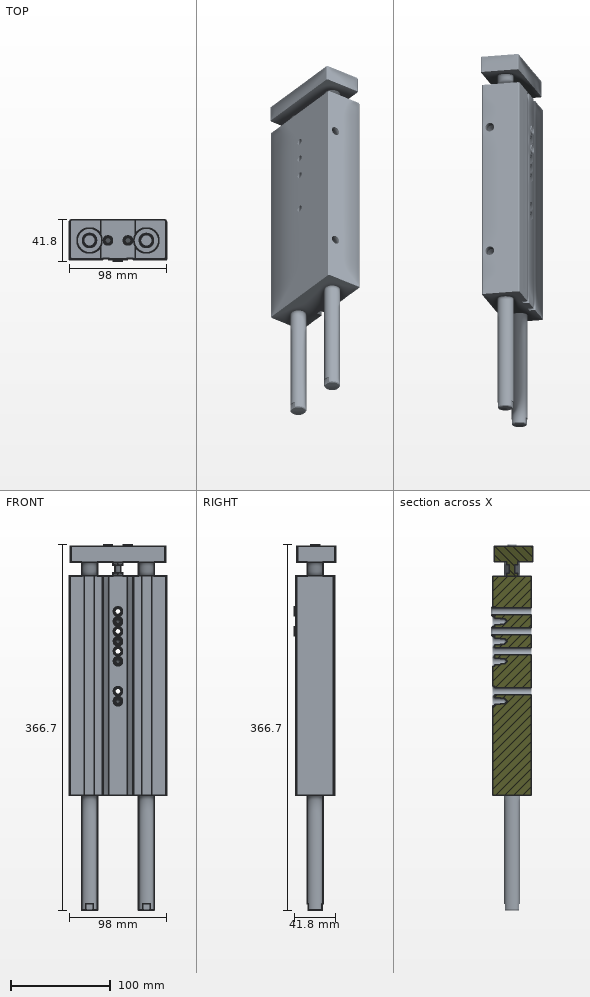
import cadquery as cq
import math


HOUSING_WIDTH = 98.0
HOUSING_DEPTH = 39.0
HOUSING_LENGTH = 220.0
HOUSING_CHAMFER = 1.2
HOUSING_FRONT = -HOUSING_DEPTH / 2

SLOT_INNER_X = 9.4
SLOT_OUTER_X = 15.0
SLOT_DEPTH = 6.0
SLOT_EDGE_CHAMFER = 1.0

PANEL_INNER_X = 23.8
PANEL_OUTER_X = 33.7
PANEL_DEPTH = 0.2

HOLE_PITCH = 10.0
FIRST_HOLE_DROP = 35.5
THROUGH_HOLE_STEPS = (0, 2, 4, 8)
BLIND_HOLE_STEPS = (1, 3, 5, 9)
SLEEVED_HOLE_STEPS = (0, 2)
THREAD_DIAMETER = 6.0
THREAD_DEPTH = 8.0
CORE_DIAMETER = 4.92
CORE_DEPTH = 12.0

PORT_DIAMETER = 8.88
PORT_DEPTH = 8.0
PORT_Y = 11.05
PORT_END_DISTANCE = 45.0

SLEEVE_DIAMETER = 9.0
SLEEVE_BORE = 6.4
SLEEVE_PROTRUSION = 1.5
SLEEVE_SEAT_DEPTH = 2.1
SLEEVE_LENGTH = SLEEVE_PROTRUSION + SLEEVE_SEAT_DEPTH
SLEEVE_MOUTH_DIAMETER = 8.88
SLEEVE_CHAMFER = (SLEEVE_MOUTH_DIAMETER - SLEEVE_BORE) / 2

PLATE_GAP = 14.0
PLATE_WIDTH = 96.0
PLATE_THICKNESS = 16.0
PLATE_BACK = 20.8
PLATE_FRONT = -18.2
PLATE_DEPTH = PLATE_BACK - PLATE_FRONT
PLATE_TOP = PLATE_GAP + PLATE_THICKNESS
PLATE_CHAMFER = 1.0
PLATE_STRIP_WIDTH = 34.2
PLATE_STRIP_DEPTH = 0.1
PLATE_RECESS_DIAMETER = 25.0
PLATE_RECESS_DEPTH = 0.2
PLATE_SLEEVE_X = 10.0
PLATE_BORE_DEPTH = 12.0

NUT_ACROSS_FLATS = 10.0
NUT_BEVEL_DIAMETER = 10.5
NUT_HEIGHT = 3.2
STOP_SCREW_DIAMETER = 6.0

ROD_DIAMETER = 16.0
ROD_X = 28.5
ROD_BOTTOM = -HOUSING_LENGTH - 115.3
ROD_BOTTOM_CHAMFER = 0.8
ROD_FLAT_WIDTH = 14.0
ROD_FLAT_HEIGHT = 6.5
SPIGOT_DIAMETER = 14.0
SPIGOT_CHAMFER = 1.0
SPIGOT_TOP = PLATE_TOP - PLATE_RECESS_DEPTH


def vertical_cylinder(diameter, bottom, top, x=0):
    """Cylinder along Z at (x, 0), from bottom to top."""
    return cq.Workplane(cq.Plane((x, 0, bottom))).circle(diameter / 2).extrude(top - bottom)


def drill(start, direction, diameter, depth):
    """Drill shape with a 90 degree conical tip, starting at a point and going along a direction."""
    radius = diameter / 2
    bore = cq.Solid.makeCylinder(radius, depth, start, direction)
    tip = cq.Solid.makeCone(radius, 0, radius, start + direction * depth, direction)
    return cq.Workplane(bore).union(cq.Workplane(tip))


def front_hole_z(step):
    """Height of a front hole, counted in pitches down from the first hole."""
    return -FIRST_HOLE_DROP - step * HOLE_PITCH


def slot_cutter(side):
    """Open slot in the housing front, chamfered along its outer edge; side is -1 or 1."""
    mouth = SLOT_OUTER_X + SLOT_EDGE_CHAMFER
    outline = [
        (SLOT_INNER_X, HOUSING_FRONT),
        (mouth, HOUSING_FRONT),
        (SLOT_OUTER_X, HOUSING_FRONT + SLOT_EDGE_CHAMFER),
        (SLOT_OUTER_X, HOUSING_FRONT + SLOT_DEPTH),
        (SLOT_INNER_X, HOUSING_FRONT + SLOT_DEPTH),
    ]
    points = [(side * x, y) for x, y in outline]
    return cq.Workplane("XY").polyline(points).close().extrude(-HOUSING_LENGTH)


def panel_cutter(side):
    """Shallow flat channel along the housing front; side is -1 or 1."""
    middle = side * (PANEL_INNER_X + PANEL_OUTER_X) / 2
    return (
        cq.Workplane("XY")
        .center(middle, HOUSING_FRONT)
        .rect(PANEL_OUTER_X - PANEL_INNER_X, 2 * PANEL_DEPTH)
        .extrude(-HOUSING_LENGTH)
    )


def make_housing():
    """Block with full-length rod bores, slots and panels, the front hole row and the side ports."""
    body = (
        cq.Workplane("XY")
        .rect(HOUSING_WIDTH, HOUSING_DEPTH)
        .extrude(-HOUSING_LENGTH)
        .edges("|Z")
        .chamfer(HOUSING_CHAMFER)
    )
    for side in (-1, 1):
        body = body.cut(slot_cutter(side)).cut(panel_cutter(side))
        body = body.cut(vertical_cylinder(ROD_DIAMETER, -HOUSING_LENGTH, 0, side * ROD_X))

    inward = cq.Vector(0, 1, 0)
    for step in THROUGH_HOLE_STEPS + BLIND_HOLE_STEPS:
        start = cq.Vector(0, HOUSING_FRONT, front_hole_z(step))
        seat = cq.Solid.makeCylinder(SLEEVE_DIAMETER / 2, SLEEVE_SEAT_DEPTH, start, inward)
        body = body.cut(cq.Workplane(seat))
        if step in THROUGH_HOLE_STEPS:
            bore = cq.Solid.makeCylinder(SLEEVE_BORE / 2, HOUSING_DEPTH, start, inward)
            body = body.cut(cq.Workplane(bore))
        else:
            thread = cq.Solid.makeCylinder(THREAD_DIAMETER / 2, THREAD_DEPTH, start, inward)
            body = body.cut(cq.Workplane(thread)).cut(drill(start, inward, CORE_DIAMETER, CORE_DEPTH))

    for z in (-PORT_END_DISTANCE, PORT_END_DISTANCE - HOUSING_LENGTH):
        start = cq.Vector(-HOUSING_WIDTH / 2, PORT_Y, z)
        body = body.cut(drill(start, cq.Vector(1, 0, 0), PORT_DIAMETER, PORT_DEPTH))
    return body


def make_nut(bottom, bevelled_face):
    """Hexagon nut with a corner on the Y axis and one face bevelled to a circle."""
    corner_diameter = NUT_ACROSS_FLATS / math.cos(math.pi / 6)
    hexagon = (
        cq.Workplane(cq.Plane((0, 0, bottom), xDir=(0, 1, 0)))
        .polygon(6, corner_diameter)
        .extrude(NUT_HEIGHT)
    )
    bevel = (corner_diameter - NUT_BEVEL_DIAMETER) / 2
    envelope = vertical_cylinder(corner_diameter, bottom, bottom + NUT_HEIGHT)
    return hexagon.intersect(envelope.faces(bevelled_face).chamfer(bevel))


def make_yoke_plate():
    """Plate carrying the rods and sleeves, in one piece with the stop screw and its two nuts."""
    plate = (
        cq.Workplane(cq.Plane((0, (PLATE_FRONT + PLATE_BACK) / 2, PLATE_GAP)))
        .rect(PLATE_WIDTH, PLATE_DEPTH)
        .extrude(PLATE_THICKNESS)
        .edges("|Z")
        .chamfer(PLATE_CHAMFER)
    )
    strip_bottom = PLATE_TOP - PLATE_STRIP_DEPTH
    strip = (
        cq.Workplane(cq.Plane((0, 0, strip_bottom)))
        .rect(PLATE_STRIP_WIDTH, 2 * PLATE_BACK)
        .extrude(PLATE_STRIP_DEPTH)
    )
    plate = plate.cut(strip)

    for side in (-1, 1):
        rod_x = side * ROD_X
        plate = plate.cut(vertical_cylinder(PLATE_RECESS_DIAMETER, SPIGOT_TOP, PLATE_TOP, rod_x))
        plate = plate.cut(vertical_cylinder(SPIGOT_DIAMETER, PLATE_GAP, PLATE_TOP, rod_x))
        sleeve_x = side * PLATE_SLEEVE_X
        seat_bottom = strip_bottom - SLEEVE_SEAT_DEPTH
        plate = plate.cut(vertical_cylinder(SLEEVE_DIAMETER, seat_bottom, PLATE_TOP, sleeve_x))
        bore_bottom = PLATE_TOP - PLATE_BORE_DEPTH
        plate = plate.cut(vertical_cylinder(SLEEVE_BORE, bore_bottom, PLATE_TOP, sleeve_x))

    stop_screw = vertical_cylinder(STOP_SCREW_DIAMETER, 0, PLATE_GAP)
    upper_nut = make_nut(PLATE_GAP - NUT_HEIGHT, "<Z")
    lower_nut = make_nut(0, ">Z")
    return plate.union(upper_nut).union(stop_screw).union(lower_nut)


def make_guide_rod(x):
    """Rod with wrench flats at its foot and a chamfered spigot that fills the plate bore."""
    shank = vertical_cylinder(ROD_DIAMETER, ROD_BOTTOM, PLATE_GAP, x)
    shank = shank.faces("<Z").chamfer(ROD_BOTTOM_CHAMFER)
    foot = cq.Workplane(cq.Plane((x, 0, ROD_BOTTOM)))
    foot_block = foot.rect(ROD_DIAMETER, ROD_DIAMETER).extrude(ROD_FLAT_HEIGHT)
    kept_block = foot.rect(ROD_DIAMETER, ROD_FLAT_WIDTH).extrude(ROD_FLAT_HEIGHT)
    flats = foot_block.cut(kept_block)
    spigot = vertical_cylinder(SPIGOT_DIAMETER, PLATE_GAP, SPIGOT_TOP, x)
    spigot = spigot.faces(">Z").chamfer(SPIGOT_CHAMFER)
    return shank.cut(flats).union(spigot)


def make_sleeve(seat, direction):
    """Centring sleeve standing on its seat and pointing along a direction."""
    plane = cq.Plane(seat, normal=direction)
    ring = cq.Workplane(plane).circle(SLEEVE_DIAMETER / 2).circle(SLEEVE_BORE / 2).extrude(SLEEVE_LENGTH)
    end_face = cq.selectors.DirectionMinMaxSelector(cq.Vector(*direction))
    bore_edge = cq.selectors.RadiusNthSelector(0)
    return ring.faces(end_face).edges(bore_edge).chamfer(SLEEVE_CHAMFER)


housing = make_housing()
yoke_plate = make_yoke_plate()
guide_rods = [make_guide_rod(side * ROD_X) for side in (-1, 1)]
housing_sleeves = [
    make_sleeve((0, HOUSING_FRONT + SLEEVE_SEAT_DEPTH, front_hole_z(step)), (0, -1, 0))
    for step in SLEEVED_HOLE_STEPS
]
plate_seat_z = PLATE_TOP - PLATE_STRIP_DEPTH - SLEEVE_SEAT_DEPTH
plate_sleeves = [
    make_sleeve((side * PLATE_SLEEVE_X, 0, plate_seat_z), (0, 0, 1))
    for side in (-1, 1)
]
sleeves = housing_sleeves + plate_sleeves

result = cq.Compound.makeCompound(
    [housing.val(), yoke_plate.val()] + [body.val() for body in guide_rods + sleeves]
)